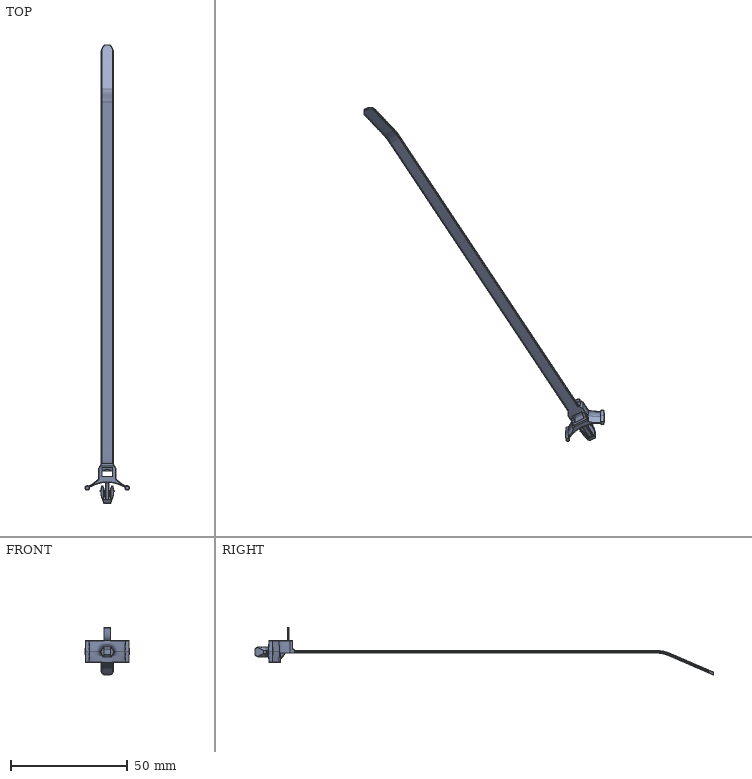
import cadquery as cq
import math


OVERALL_LENGTH = 197.52
OVERALL_HEIGHT = 20.42
OVERALL_WIDTH = 19.05

STRAP_WIDTH = 5.3
STRAP_THICKNESS = 1.1
STRAP_TOP = 0.4
STRAP_BOTTOM = STRAP_TOP - STRAP_THICKNESS
STRAP_EDGE_CHAMFER = 0.45
BEND_START = 163.8
BEND_ANGLE = math.radians(23.4)
BEND_RADIUS = 13.0
STRAP_ROOT = 4.0
TIP_TAPER_LENGTH = 2.9
TIP_END_WIDTH = 2.0
TIP_BULGE = 0.25

HEAD_WIDTH = 7.4
HEAD_BACK = 7.0
HEAD_TOP = 4.7
HEAD_CORNER_WIDTH = 1.2
HEAD_CORNER_LENGTH = 2.2
RAMP_LENGTH = 1.1
RAMP_RISE = 0.8
WINDOW_WIDTH = 4.5
WINDOW_FRONT = 2.5
WINDOW_BACK = 6.4
PAWL_TOP = 3.4
GUSSET_WIDTH = 6.6
GUSSET_BACK = 3.9
GUSSET_BOTTOM = -3.3

POST_WIDTH = 3.0
POST_FRONT = 4.85
POST_EDGE_BACK = 5.05
POST_CROWN_BACK = 5.5

WING_HALF_HEIGHT = 4.7
WING_THICKNESS = 0.8
WING_DRAFT = 2.0
BEAD_RADIUS = 0.95
BEAD_X = OVERALL_WIDTH / 2 - BEAD_RADIUS
BEAD_Y = -2.4
BASE_DEPTH = 1.9
FLARE_TOP = 1.4

MOUNT_Z = -0.2
MOUNT_LENGTH = 9.2
MOUNT_HALF_THICKNESS = 2.2
SECTION_HALF_HEIGHT = 2.6
SECTION_FLAT_HALF_WIDTH = 1.4
STEM_HALF_HEIGHT = 1.6
NOSE_ROUND_START = -6.8
NOSE_HALF_THICKNESS = 1.2
NOSE_BULGE = 0.25
STEM_HALF_WIDTH = 0.75
BARB_GAP = 0.45
BARB_MOUTH_HALF_WIDTH = 1.9
BARB_TOP = -1.6
BARB_TOP_HALF_WIDTH = 2.5
LIP_Y = -3.8
LIP_HALF_WIDTH = 3.2
LIP_DEPTH = 0.3
BODY_HALF_WIDTH = 2.7
BODY_END = -5.6
NOSE_END_HALF_WIDTH = 1.4
GAP_END = -7.4
GAP_FOOT_START = -6.3
GAP_FOOT_HALF_WIDTH = 1.4
GAP_MOUTH_END = -3.6

STRAP_TIP = OVERALL_LENGTH - MOUNT_LENGTH


def box(width, y_min, y_max, z_min, z_max):
    """Block centred on X = 0."""
    block = cq.Workplane("XY").box(width, y_max - y_min, z_max - z_min, centered=(True, False, False))
    return block.translate((0, y_min, z_min))


def bend_point(radius, angle):
    """Point (y, z) on the downward bend, which is centred below the strap."""
    centre_z = STRAP_BOTTOM - BEND_RADIUS
    return (BEND_START + radius * math.sin(angle), centre_z + radius * math.cos(angle))


def tip_point(radius):
    """Point (y, z) where the straight tail beyond the bend reaches the tip plane."""
    y, z = bend_point(radius, BEND_ANGLE)
    return (STRAP_TIP, z - (STRAP_TIP - y) * math.tan(BEND_ANGLE))


OUTER_BEND = BEND_RADIUS + STRAP_THICKNESS
POST_TOP = tip_point(BEND_RADIUS)[1] + OVERALL_HEIGHT


def make_strap():
    side = (
        cq.Workplane("YZ")
        .moveTo(STRAP_ROOT, STRAP_TOP)
        .lineTo(BEND_START, STRAP_TOP)
        .threePointArc(bend_point(OUTER_BEND, BEND_ANGLE / 2), bend_point(OUTER_BEND, BEND_ANGLE))
        .lineTo(*tip_point(OUTER_BEND))
        .lineTo(*tip_point(BEND_RADIUS))
        .lineTo(*bend_point(BEND_RADIUS, BEND_ANGLE))
        .threePointArc(bend_point(BEND_RADIUS, BEND_ANGLE / 2), (BEND_START, STRAP_BOTTOM))
        .lineTo(STRAP_ROOT, STRAP_BOTTOM)
        .close()
        .extrude(STRAP_WIDTH / 2, both=True)
    )
    side = side.faces("<X or >X").edges("(not <Y) and (not >Y)").chamfer(STRAP_EDGE_CHAMFER)
    half = STRAP_WIDTH / 2
    shoulder = STRAP_TIP - TIP_TAPER_LENGTH
    half_end = TIP_END_WIDTH / 2
    bulge = ((half + half_end) / 2 + TIP_BULGE, (shoulder + STRAP_TIP) / 2 + TIP_BULGE)
    outline = (
        cq.Workplane("XY")
        .moveTo(-half, 0)
        .lineTo(half, 0)
        .lineTo(half, shoulder)
        .threePointArc(bulge, (half_end, STRAP_TIP))
        .lineTo(-half_end, STRAP_TIP)
        .threePointArc((-bulge[0], bulge[1]), (-half, shoulder))
        .close()
        .extrude(2 * OVERALL_HEIGHT, both=True)
    )
    return side.intersect(outline)


def make_head():
    side = (
        cq.Workplane("YZ")
        .moveTo(BASE_DEPTH / 2, HEAD_TOP)
        .lineTo(HEAD_BACK, HEAD_TOP)
        .lineTo(HEAD_BACK, STRAP_TOP + RAMP_RISE)
        .lineTo(HEAD_BACK + RAMP_LENGTH, STRAP_TOP)
        .lineTo(HEAD_BACK + RAMP_LENGTH, STRAP_BOTTOM)
        .lineTo(BASE_DEPTH / 2, STRAP_BOTTOM)
        .close()
        .extrude(HEAD_WIDTH / 2, both=True)
    )
    half = HEAD_WIDTH / 2
    back = HEAD_BACK + RAMP_LENGTH
    plan = (
        cq.Workplane("XY")
        .moveTo(-half, 0)
        .lineTo(half, 0)
        .lineTo(half, back - HEAD_CORNER_LENGTH)
        .lineTo(half - HEAD_CORNER_WIDTH, back)
        .lineTo(HEAD_CORNER_WIDTH - half, back)
        .lineTo(-half, back - HEAD_CORNER_LENGTH)
        .close()
        .extrude(2 * HEAD_TOP, both=True)
    )
    return side.intersect(plan).union(make_gusset())


def make_gusset():
    """Web under the head, set in slightly from its sides."""
    return (
        cq.Workplane("YZ")
        .moveTo(BASE_DEPTH / 2, STRAP_TOP)
        .lineTo(GUSSET_BACK, STRAP_TOP)
        .lineTo(GUSSET_BACK, STRAP_BOTTOM)
        .lineTo(BASE_DEPTH, GUSSET_BOTTOM)
        .lineTo(BASE_DEPTH / 2, GUSSET_BOTTOM)
        .close()
        .extrude(GUSSET_WIDTH / 2, both=True)
    )


def make_window():
    return box(WINDOW_WIDTH, WINDOW_FRONT, WINDOW_BACK, -WING_HALF_HEIGHT, HEAD_TOP)


def make_pawl_and_post():
    pawl = box(WINDOW_WIDTH, POST_FRONT, WINDOW_BACK, STRAP_BOTTOM, PAWL_TOP)
    half = POST_WIDTH / 2
    post = (
        cq.Workplane("XY")
        .workplane(offset=STRAP_BOTTOM)
        .moveTo(-half, POST_FRONT)
        .lineTo(half, POST_FRONT)
        .lineTo(half, POST_EDGE_BACK)
        .threePointArc((0, POST_CROWN_BACK), (-half, POST_EDGE_BACK))
        .close()
        .extrude(POST_TOP - STRAP_BOTTOM)
    )
    return pawl.union(post)


def drafted(sketch):
    """Extrude a closed outline both ways from the parting plane, tapering inward."""
    upper = sketch.extrude(WING_HALF_HEIGHT, taper=WING_DRAFT)
    return upper.union(upper.mirror("XY"))


def leaf_back(x):
    """Y of the rear face of a leaf of even thickness that bows from bead to bead."""
    drop = WING_THICKNESS / 2 - BEAD_Y
    radius = (BEAD_X**2 + drop**2) / (2 * drop)
    return WING_THICKNESS - radius + math.sqrt(radius**2 - x**2)


def make_wings():
    """Bowed leaf with a bead along each end, thickening towards the head."""
    half_root = HEAD_WIDTH / 2
    middle = (half_root + BEAD_X) / 2
    bead_front = BEAD_Y - WING_THICKNESS / 2
    leaf = (
        cq.Workplane("XY")
        .moveTo(-BEAD_X, bead_front)
        .threePointArc((0, 0), (BEAD_X, bead_front))
        .lineTo(BEAD_X, leaf_back(BEAD_X))
        .threePointArc((middle, leaf_back(middle)), (half_root, FLARE_TOP))
        .lineTo(-half_root, FLARE_TOP)
        .threePointArc((-middle, leaf_back(middle)), (-BEAD_X, leaf_back(BEAD_X)))
        .close()
    )
    wings = drafted(leaf)
    for side in (-1, 1):
        bead = cq.Workplane("XY").center(side * BEAD_X, BEAD_Y).circle(BEAD_RADIUS)
        wings = wings.union(drafted(bead))
    base = box(HEAD_WIDTH, WING_THICKNESS / 2, BASE_DEPTH, -WING_HALF_HEIGHT, WING_HALF_HEIGHT)
    return wings.union(base)


def make_mount():
    right_half = (
        cq.Workplane("XY")
        .moveTo(0, BARB_TOP)
        .lineTo(BARB_TOP_HALF_WIDTH, BARB_TOP)
        .lineTo(BODY_HALF_WIDTH, LIP_Y + LIP_DEPTH)
        .lineTo(LIP_HALF_WIDTH, LIP_Y)
        .lineTo(BODY_HALF_WIDTH, LIP_Y - LIP_DEPTH)
        .lineTo(BODY_HALF_WIDTH, BODY_END)
        .lineTo(NOSE_END_HALF_WIDTH, -MOUNT_LENGTH)
        .lineTo(0, -MOUNT_LENGTH)
        .close()
        .extrude(SECTION_HALF_HEIGHT, both=True)
    )
    section = (
        cq.Workplane("XZ")
        .moveTo(LIP_HALF_WIDTH, 0)
        .lineTo(SECTION_FLAT_HALF_WIDTH, SECTION_HALF_HEIGHT)
        .lineTo(-SECTION_FLAT_HALF_WIDTH, SECTION_HALF_HEIGHT)
        .lineTo(-LIP_HALF_WIDTH, 0)
        .lineTo(-SECTION_FLAT_HALF_WIDTH, -SECTION_HALF_HEIGHT)
        .lineTo(SECTION_FLAT_HALF_WIDTH, -SECTION_HALF_HEIGHT)
        .close()
        .extrude(MOUNT_LENGTH)
    )
    nose_middle = (NOSE_ROUND_START - MOUNT_LENGTH) / 2 - NOSE_BULGE
    nose_middle_z = (MOUNT_HALF_THICKNESS + NOSE_HALF_THICKNESS) / 2 + NOSE_BULGE
    side = (
        cq.Workplane("YZ")
        .moveTo(0, MOUNT_HALF_THICKNESS)
        .lineTo(NOSE_ROUND_START, MOUNT_HALF_THICKNESS)
        .threePointArc((nose_middle, nose_middle_z), (-MOUNT_LENGTH, NOSE_HALF_THICKNESS))
        .lineTo(-MOUNT_LENGTH, -NOSE_HALF_THICKNESS)
        .threePointArc((nose_middle, -nose_middle_z), (NOSE_ROUND_START, -MOUNT_HALF_THICKNESS))
        .lineTo(0, -MOUNT_HALF_THICKNESS)
        .close()
        .extrude(LIP_HALF_WIDTH, both=True)
    )
    body = right_half.union(right_half.mirror("YZ")).intersect(section).intersect(side)
    gap_half_width = STEM_HALF_WIDTH + BARB_GAP
    gap = (
        cq.Workplane("XY")
        .moveTo(-gap_half_width, GAP_END)
        .lineTo(-gap_half_width, GAP_MOUTH_END)
        .lineTo(-BARB_MOUTH_HALF_WIDTH, BARB_TOP)
        .lineTo(BARB_MOUTH_HALF_WIDTH, BARB_TOP)
        .lineTo(gap_half_width, GAP_MOUTH_END)
        .lineTo(gap_half_width, GAP_END)
        .close()
        .extrude(LIP_HALF_WIDTH, both=True)
    )
    gap_foot = box(2 * GAP_FOOT_HALF_WIDTH, GAP_END, GAP_FOOT_START, -LIP_HALF_WIDTH, LIP_HALF_WIDTH)
    stem = box(2 * STEM_HALF_WIDTH, GAP_END, WING_THICKNESS / 2, -STEM_HALF_HEIGHT, STEM_HALF_HEIGHT)
    return body.cut(gap).cut(gap_foot).union(stem).translate((0, 0, MOUNT_Z))


result = make_head().union(make_wings()).union(make_strap()).cut(make_window())
result = result.union(make_pawl_and_post()).union(make_mount())